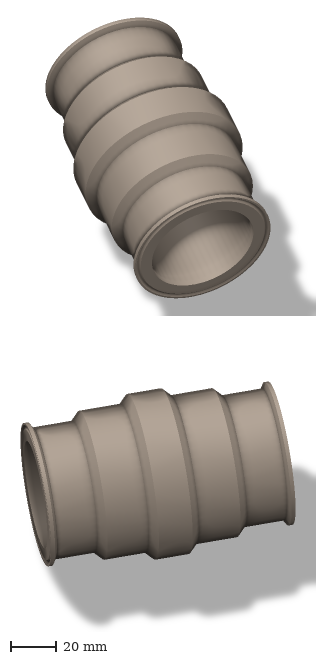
import math

import cadquery as cq

length = 110.0
bore_diameter = 47.8

flange_diameter = 64.0
neck_diameter = 59.0
shoulder_diameter = 66.5
belly_diameter = 74.0

belly_half_length = 7.6
shoulder_half_length = 29.9

flange_rim_width = 1.8
flange_back_width = 3.3

groove_mean_diameter = 60.4
groove_width = 2.0
groove_bottom_radius = 0.5
wall_angle = math.radians(45)


def revolve_about_x(outline):
    """Revolve a closed outline, drawn with radius along Y, about the X axis."""
    return outline.close().revolve(360, (0, 0, 0), (1, 0, 0))


def make_body():
    """Stepped tube, symmetric about its middle plane."""
    bore = bore_diameter / 2
    flange = flange_diameter / 2
    neck = neck_diameter / 2
    shoulder = shoulder_diameter / 2
    belly = belly_diameter / 2
    end = length / 2

    belly_slope_end = belly_half_length + belly - shoulder
    shoulder_slope_end = shoulder_half_length + shoulder - neck
    right_side = [
        (belly_half_length, belly),
        (belly_slope_end, shoulder),
        (shoulder_half_length, shoulder),
        (shoulder_slope_end, neck),
        (end - flange_back_width, neck),
        (end - flange_rim_width, flange),
        (end, flange),
        (end, bore),
    ]
    left_side = [(-x, radius) for x, radius in reversed(right_side)]
    return revolve_about_x(cq.Workplane("XY").polyline(left_side + right_side))


def make_gasket_groove():
    """Ring to cut from the -X end face; its bottom arc is tangent to the walls."""
    face = -length / 2
    middle = groove_mean_diameter / 2
    half_width = groove_width / 2
    arc_half_width = groove_bottom_radius * math.sin(wall_angle)
    wall_end = face + (half_width - arc_half_width) / math.tan(wall_angle)
    bottom = wall_end + groove_bottom_radius * (1 - math.cos(wall_angle))
    outline = (
        cq.Workplane("XY")
        .moveTo(face, middle - half_width)
        .lineTo(wall_end, middle - arc_half_width)
        .threePointArc((bottom, middle), (wall_end, middle + arc_half_width))
        .lineTo(face, middle + half_width)
    )
    return revolve_about_x(outline)


groove = make_gasket_groove()
result = make_body().cut(groove).cut(groove.mirror("YZ"))